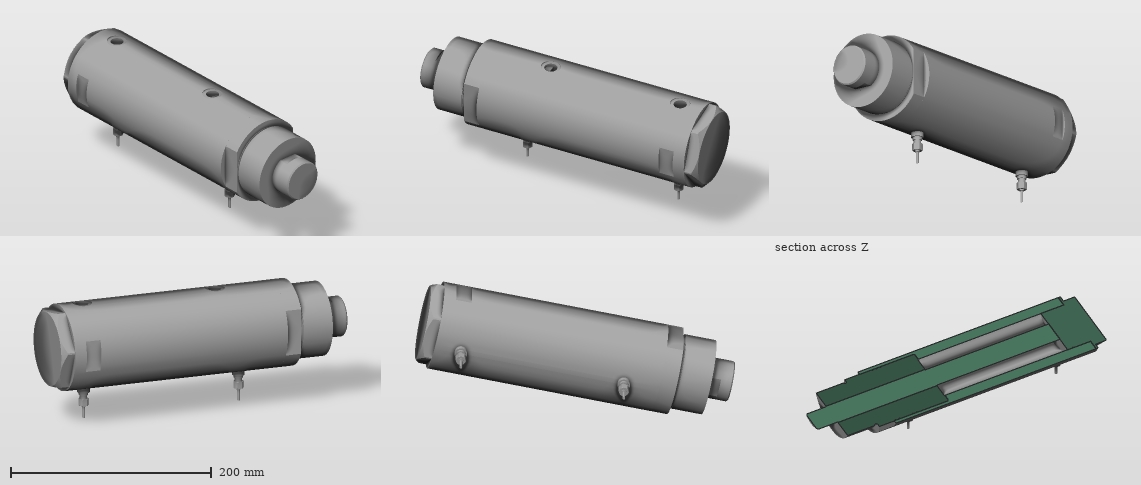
import cadquery as cq
import math


barrel_radius = 44.0
barrel_start = 14.8
barrel_end = 241.0
bore_radius = 32.7
head_seat_radius = 40.0
flat_start = 25.0
flat_length = 15.7
flat_width = 31.5

port_positions = (37.0, 179.5)
port_radius = 6.5
port_seat_radius = 10.0
port_seat_z = 42.8

cap_flange_start = 12.5
cap_spigot_end = 41.2
hex_across_flats = 75.5
hex_corner_radius = 43.0
hex_turn = -7.0
cap_face_radius = 37.5
cap_chamfer_length = 5.0

head_flange_end = 257.5
head_flat_y = 37.5
head_groove_start = 258.5
head_groove_end = 259.5
head_groove_radius = 36.2
head_neck_end = 260.5
head_neck_radius = 36.8
head_collar_radius = 37.7
head_end = 291.5
head_spigot_start = port_positions[1]

rod_radius = 20.5
rod_end = 314.5
rod_chamfer = 1.3
rod_flat_z = 18.0
rod_flat_end = 302.2

sensor_positions = (38.7, 205.0)
stem_radius = 2.5
stem_top = -41.0
collar_radius = 6.3
collar_top = -44.3
collar_bottom = -49.0
shoulder_radius = 4.7
shoulder_bottom = -52.0
neck_radius = 3.8
nut_top = -55.7
nut_bottom = -63.0
nut_across_flats = 9.5
nut_chamfer = 0.5
sleeve_radius = 2.5
sleeve_bottom = -64.0
cable_radius = 1.4
cable_end = -76.5
cable_slant = 1.0


def x_turned(points):
    """Solid of revolution about the X axis from (x, radius) points."""
    closed = [(points[0][0], 0), *points, (points[-1][0], 0)]
    return cq.Workplane("XZ").polyline(closed).close().revolve(360, (0, 0, 0), (1, 0, 0))


def z_turned(points):
    """Solid of revolution about the Z axis from (radius, z) points."""
    closed = [(0, points[0][1]), *points, (0, points[-1][1])]
    return cq.Workplane("XZ").polyline(closed).close().revolve(360, (0, 0, 0), (0, 1, 0))


def x_cylinder(radius, start, end):
    """Cylinder on the X axis."""
    return x_turned([(start, radius), (end, radius)])


def block(x_range, y_range, z_range):
    """Box spanning the given ranges."""
    spans = [high - low for low, high in (x_range, y_range, z_range)]
    corner = (x_range[0], y_range[0], z_range[0])
    return cq.Workplane("XY").box(*spans, centered=False).translate(corner)


def z_cylinder(x, radius, bottom, top):
    """Upright cylinder over the X axis."""
    return cq.Workplane("XY", origin=(x, 0, bottom)).circle(radius).extrude(top - bottom)


def cut_side_flats(body, x_range, flat_y):
    """Mill a flat at +flat_y and one at -flat_y over the given length."""
    z_range = (-barrel_radius, barrel_radius)
    body = body.cut(block(x_range, (flat_y, barrel_radius), z_range))
    return body.cut(block(x_range, (-barrel_radius, -flat_y), z_range))


def make_barrel():
    barrel = x_cylinder(barrel_radius, barrel_start, barrel_end)
    barrel = barrel.cut(x_cylinder(bore_radius, barrel_start, barrel_end))
    barrel = barrel.cut(x_cylinder(head_seat_radius, head_spigot_start, barrel_end))

    flat_y = math.sqrt(barrel_radius**2 - (flat_width / 2) ** 2)
    barrel = cut_side_flats(barrel, (flat_start, flat_start + flat_length), flat_y)

    for x in port_positions:
        barrel = barrel.cut(z_cylinder(x, port_radius, 0, barrel_radius))
        barrel = barrel.cut(z_cylinder(x, port_seat_radius, port_seat_z, barrel_radius))
    for x in sensor_positions:
        barrel = barrel.cut(z_cylinder(x, stem_radius, -barrel_radius, stem_top))
    return barrel


def make_cap():
    corner_diameter = hex_across_flats / math.cos(math.pi / 6)
    hexagon = cq.Workplane("YZ").polygon(6, corner_diameter).extrude(cap_flange_start)
    blank = x_turned([
        (0, cap_face_radius),
        (cap_chamfer_length, hex_corner_radius),
        (cap_flange_start, hex_corner_radius),
    ])
    cap = hexagon.intersect(blank)
    cap = cap.union(x_cylinder(barrel_radius, cap_flange_start, barrel_start))
    cap = cap.union(x_cylinder(bore_radius, barrel_start, cap_spigot_end))
    return cap.rotate((0, 0, 0), (1, 0, 0), hex_turn)


def make_head():
    head = x_turned([
        (head_spigot_start, head_seat_radius),
        (barrel_end, head_seat_radius),
        (barrel_end, barrel_radius),
        (head_flange_end, barrel_radius),
        (head_flange_end, head_neck_radius),
        (head_groove_start, head_neck_radius),
        (head_groove_start, head_groove_radius),
        (head_groove_end, head_groove_radius),
        (head_groove_end, head_neck_radius),
        (head_neck_end, head_neck_radius),
        (head_neck_end, head_collar_radius),
        (head_end, head_collar_radius),
    ])
    head = head.cut(x_cylinder(rod_radius, head_spigot_start, head_end))
    return cut_side_flats(head, (barrel_end, head_flange_end), head_flat_y)


def make_rod():
    rod = x_turned([
        (cap_spigot_end, rod_radius),
        (rod_end - rod_chamfer, rod_radius),
        (rod_end, rod_radius - rod_chamfer),
    ])
    x_range = (head_end, rod_flat_end)
    y_range = (-rod_radius, rod_radius)
    rod = rod.cut(block(x_range, y_range, (rod_flat_z, rod_radius)))
    return rod.cut(block(x_range, y_range, (-rod_radius, -rod_flat_z)))


def make_sensor(x):
    sensor = z_turned([
        (stem_radius, stem_top),
        (stem_radius, collar_top),
        (collar_radius, collar_top),
        (collar_radius, collar_bottom),
        (shoulder_radius, collar_bottom),
        (shoulder_radius, shoulder_bottom),
        (neck_radius, shoulder_bottom),
        (neck_radius, nut_top),
        (sleeve_radius, nut_top),
        (sleeve_radius, sleeve_bottom),
        (cable_radius, sleeve_bottom),
        (cable_radius, cable_end),
    ])
    corner_radius = nut_across_flats / 2 / math.cos(math.pi / 6)
    nut = cq.Workplane("XY", origin=(0, 0, nut_bottom)).polygon(6, 2 * corner_radius)
    nut = nut.extrude(nut_top - nut_bottom)
    nut = nut.intersect(z_turned([
        (corner_radius - nut_chamfer, nut_top),
        (corner_radius, nut_top - nut_chamfer),
        (corner_radius, nut_bottom + nut_chamfer),
        (corner_radius - nut_chamfer, nut_bottom),
    ]))
    slant_cut = (
        cq.Workplane("XZ")
        .moveTo(cable_radius, cable_end)
        .lineTo(-cable_radius, cable_end + cable_slant)
        .lineTo(-cable_radius, cable_end)
        .close()
        .extrude(cable_radius, both=True)
    )
    return sensor.union(nut).cut(slant_cut).translate((x, 0, 0))


barrel = make_barrel()
cap = make_cap()
head = make_head()
rod = make_rod()
sensors = [make_sensor(x) for x in sensor_positions]

result = cq.Compound.makeCompound([
    barrel.val(),
    cap.val(),
    head.val(),
    rod.val(),
    *[sensor.val() for sensor in sensors],
])